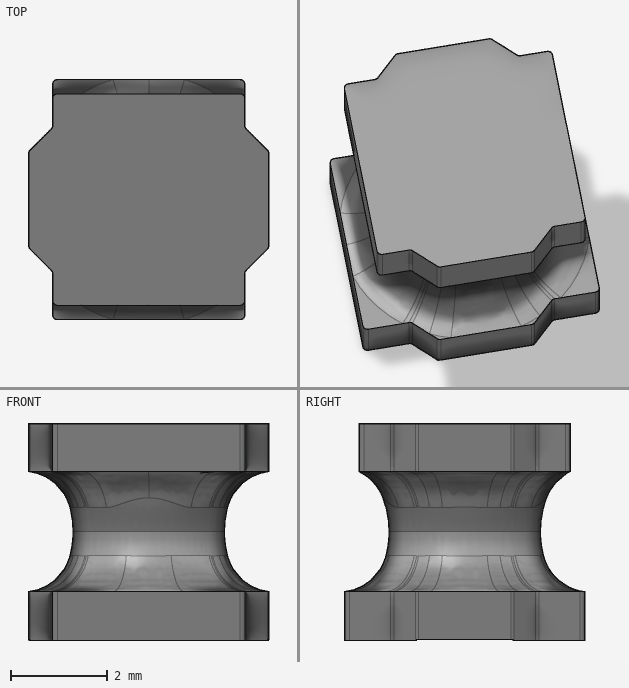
import cadquery as cq
import math

length_x = 5.0
base_width_y = 5.0
cap_width_y = 4.4
block_length_x = 4.0
arm_tip_width = 2.0
corner_radius = 0.1
flange_thickness = 1.0
flange_gap = 2.5

waist_end_radius = 2.015
waist_arc_radius = 2.0
waist_fillet_radius = 1.0

pad_gap = arm_tip_width
pad_thickness = 0.02

half_gap = flange_gap / 2
waist_sag = waist_arc_radius - math.sqrt(waist_arc_radius**2 - half_gap**2)
throat_radius = waist_end_radius - waist_sag
middle_z = flange_thickness + half_gap


def flange(width_y, thickness):
    """Plate standing on Z = 0: a block with an arm on each X side that narrows at 45 degrees."""
    tip_x = length_x / 2
    block_x = block_length_x / 2
    tip_y = arm_tip_width / 2
    root_y = tip_y + (tip_x - block_x)
    quarter = [(tip_x, tip_y), (block_x, root_y), (block_x, width_y / 2)]
    upper_half = quarter + [(-x, y) for x, y in reversed(quarter)]
    lower_half = [(-x, -y) for x, y in upper_half]
    plate = cq.Workplane("XY").polyline(upper_half + lower_half).close().extrude(thickness)
    return plate.edges("|Z").fillet(corner_radius)


def half_waist():
    """Lower half of the waist, turned from a circular arc that is narrowest at the throat.

    The profile lies in the YZ plane, so that the seam of the turned face points to the middle
    of a flange side, where the fillet at its foot can cross it.
    """
    foot_z = flange_thickness
    foot_slope = math.asin(half_gap / waist_arc_radius)
    arc_centre_y = throat_radius + waist_arc_radius
    arc_midpoint = (
        arc_centre_y - waist_arc_radius * math.cos(foot_slope / 2),
        middle_z - waist_arc_radius * math.sin(foot_slope / 2),
    )
    return (
        cq.Workplane("YZ")
        .moveTo(0, foot_z)
        .lineTo(waist_end_radius, foot_z)
        .threePointArc(arc_midpoint, (throat_radius, middle_z))
        .lineTo(0, middle_z)
        .close()
        .revolve(360, (0, 0, 0), (0, 1, 0))
    )


def half_spool(width_y):
    """Flange with half of the waist on it; the large foot fillet runs out over the flange sides."""
    spool = flange(width_y, flange_thickness).union(half_waist())
    foot = cq.selectors.RadiusNthSelector(-1)
    return spool.edges(foot).fillet(waist_fillet_radius)


def contact_pads():
    """Two thin pads along the -Y and +Y sides, flush with the lower flange."""
    middle_strip = cq.Workplane("XY").box(length_x, pad_gap, pad_thickness, centered=(True, True, False))
    pads = flange(base_width_y, pad_thickness).cut(middle_strip)
    return pads.translate((0, 0, -pad_thickness))


base = half_spool(base_width_y)
cap = half_spool(cap_width_y).rotate((0, 0, middle_z), (1, 0, middle_z), 180)
result = base.union(cap).union(contact_pads())